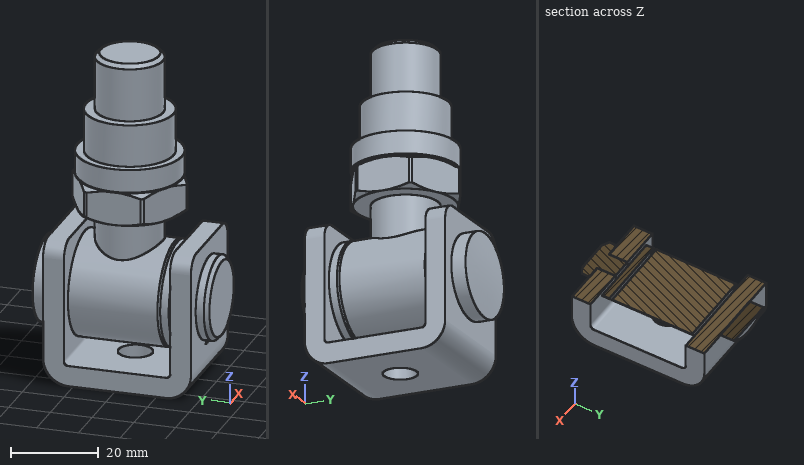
import cadquery as cq
import math


overall_height = 78.0

yoke_width = 27.0
yoke_height = 34.7
yoke_gap = 25.4
yoke_thickness = 5.0
yoke_inner_bend_radius = 1.0
yoke_top_corner_radius = 4.0
floor_hole_diameter = 8.0

pin_height = 20.5
pin_diameter = 11.8
pin_head_diameter = 20.0
pin_head_height = 3.0
pin_head_chamfer = 1.0
pin_key_width = 5.0
pin_key_reach = 10.6

cap_diameter = 20.5
cap_height = 4.05
cap_dome_rise = 0.5
cap_bore_depth = 2.5

eye_diameter = 25.0
eye_length = 21.45
washer_thickness = 2.0

shank_diameter = 16.0
shank_chamfer = 1.0

nut_base = 40.25
nut_height = 8.0
nut_across_flats = 24.0
nut_corner_diameter = 27.3
nut_bevel_angle = 30.0

flange_diameter = 25.0
flange_height = 5.85
flange_chamfer = 0.3
sleeve_diameter = 21.0
sleeve_height = 16.0

yoke_half_depth = yoke_gap / 2 + yoke_thickness
yoke_outer_bend_radius = yoke_inner_bend_radius + yoke_thickness

side_clearance = (yoke_gap - eye_length - washer_thickness) / 3
washer_front = -yoke_gap / 2 + side_clearance
eye_front = washer_front + washer_thickness + side_clearance
bolt_y = eye_front + eye_length / 2

cap_rim_height = cap_height - cap_dome_rise
sleeve_base = nut_base + nut_height


def rod_along_y(diameter, front, length):
    """Cylinder on the pin axis, from y = front towards +Y."""
    plane = cq.Plane(origin=(0, front, pin_height), xDir=(1, 0, 0), normal=(0, 1, 0))
    return cq.Workplane(plane).circle(diameter / 2).extrude(length)


def rod_along_z(diameter, base, length):
    """Cylinder on the bolt axis, from z = base upwards."""
    return cq.Workplane("XY", origin=(0, bolt_y, base)).circle(diameter / 2).extrude(length)


def key_block():
    """Block below the pin axis that fills the key slot through the front wall of the yoke."""
    return (
        cq.Workplane("XY", origin=(0, -yoke_half_depth, pin_height - pin_key_reach))
        .box(pin_key_width, yoke_thickness, pin_key_reach, centered=(True, False, False))
    )


def make_yoke():
    outside = (
        cq.Workplane("XY")
        .box(yoke_width, 2 * yoke_half_depth, yoke_height, centered=(True, True, False))
        .edges("|X and <Z").fillet(yoke_outer_bend_radius)
        .edges("|Y and >Z").fillet(yoke_top_corner_radius)
    )
    opening = (
        cq.Workplane("XY", origin=(0, 0, yoke_thickness))
        .box(yoke_width, yoke_gap, yoke_height, centered=(True, True, False))
        .edges("|X and <Z").fillet(yoke_inner_bend_radius)
    )
    floor_hole = cq.Workplane("XY").circle(floor_hole_diameter / 2).extrude(yoke_thickness)
    pin_hole = rod_along_y(pin_diameter, -yoke_half_depth, 2 * yoke_half_depth)
    return outside.cut(opening).cut(floor_hole).cut(pin_hole).cut(key_block())


def make_pin():
    head = (
        rod_along_y(pin_head_diameter, -yoke_half_depth - pin_head_height, pin_head_height)
        .faces("<Y").chamfer(pin_head_chamfer)
    )
    shaft = rod_along_y(pin_diameter, -yoke_half_depth, 2 * yoke_half_depth + cap_bore_depth)
    return head.union(shaft).union(key_block())


def make_cap():
    """Domed retaining cap with a blind bore for the pin end."""
    radius = cap_diameter / 2
    dome_radius = (radius ** 2 + cap_dome_rise ** 2) / (2 * cap_dome_rise)
    half_radius = radius / 2
    half_way_height = cap_height - dome_radius + math.sqrt(dome_radius ** 2 - half_radius ** 2)
    solid_cap = (
        cq.Workplane("XY")
        .lineTo(radius, 0)
        .lineTo(radius, cap_rim_height)
        .threePointArc((half_radius, half_way_height), (0, cap_height))
        .close()
        .revolve(360, (0, 0), (0, 1))
        .translate((0, yoke_half_depth, pin_height))
    )
    return solid_cap.cut(rod_along_y(pin_diameter, yoke_half_depth, cap_bore_depth))


def make_eye_bolt():
    eye = rod_along_y(eye_diameter, eye_front, eye_length)
    shank = (
        rod_along_z(shank_diameter, pin_height, overall_height - pin_height)
        .faces(">Z").chamfer(shank_chamfer)
    )
    return eye.union(shank).cut(rod_along_y(pin_diameter, eye_front, eye_length))


def make_washer():
    disc = rod_along_y(eye_diameter, washer_front, washer_thickness)
    return disc.cut(rod_along_y(pin_diameter, washer_front, washer_thickness))


def make_nut():
    """Hexagon nut with flats facing +X and -X, its corners turned and bevelled at both ends."""
    hexagon = (
        cq.Workplane("XY", origin=(0, bolt_y, nut_base))
        .polygon(6, nut_across_flats, circumscribed=True)
        .extrude(nut_height)
    )
    bevel_width = (nut_corner_diameter - nut_across_flats) / 2
    bevel_height = bevel_width * math.tan(math.radians(nut_bevel_angle))
    turned_blank = (
        rod_along_z(nut_corner_diameter, nut_base, nut_height)
        .faces("<Z").chamfer(bevel_height, bevel_width)
        .faces(">Z").chamfer(bevel_height, bevel_width)
    )
    bore = rod_along_z(shank_diameter, nut_base, nut_height)
    return hexagon.intersect(turned_blank).cut(bore)


def make_sleeve():
    flange = (
        rod_along_z(flange_diameter, sleeve_base, flange_height)
        .faces("<Z").chamfer(flange_chamfer)
    )
    body = rod_along_z(sleeve_diameter, sleeve_base, sleeve_height)
    return flange.union(body).cut(rod_along_z(shank_diameter, sleeve_base, sleeve_height))


yoke = make_yoke()
pin = make_pin()
cap = make_cap()
eye_bolt = make_eye_bolt()
washer = make_washer()
nut = make_nut()
sleeve = make_sleeve()

bodies = [yoke, pin, cap, eye_bolt, washer, nut, sleeve]
result = cq.Compound.makeCompound([body.solids().val() for body in bodies])